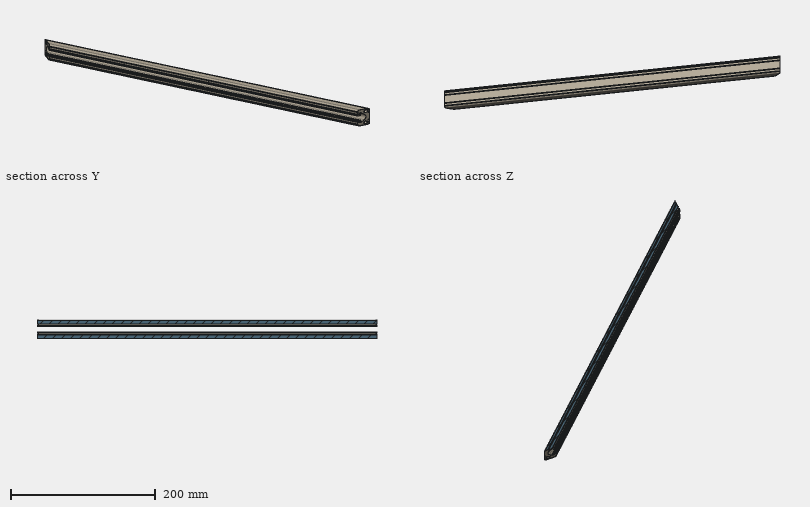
import cadquery as cq
import math

length = 488.5
depth = 12.5
height = 25.5
corner_radius = 2.5

mouth_half = 3.65
lip_thickness = 3.0
undercut_half = 6.5
wall_depth = 5.0
floor_radius = 6.0

relief_half = 7.5
relief_start = 2.0
relief_end = 4.5

bore_diameter = 4.0
bore_y = 9.0
bore_z = 9.0

groove_heights = (6.0, 10.0)
groove_half = 0.5
groove_depth = 0.5


def rectangular_bar(y_center, z_center, width, tall):
    """Bar of full length with its center line at the given Y and Z."""
    return cq.Workplane("YZ").center(y_center, z_center).rect(width, tall).extrude(length)


def slot():
    """Open undercut slot with 45 degree flanks and a round floor."""
    floor_half = floor_radius * math.sin(math.radians(45))
    flank_depth = wall_depth + undercut_half - floor_half
    slot_depth = flank_depth + floor_radius - floor_half
    return (
        cq.Workplane("YZ")
        .moveTo(0, -mouth_half)
        .lineTo(lip_thickness, -mouth_half)
        .lineTo(lip_thickness, -undercut_half)
        .lineTo(wall_depth, -undercut_half)
        .lineTo(flank_depth, -floor_half)
        .threePointArc((slot_depth, 0), (flank_depth, floor_half))
        .lineTo(wall_depth, undercut_half)
        .lineTo(lip_thickness, undercut_half)
        .lineTo(lip_thickness, mouth_half)
        .lineTo(0, mouth_half)
        .close()
        .extrude(length)
    )


def relief(side):
    """Pocket from halfway up the lip to the relief height on one side."""
    inner_half = (mouth_half + undercut_half) / 2
    return rectangular_bar(
        (relief_start + relief_end) / 2,
        side * (inner_half + relief_half) / 2,
        relief_end - relief_start,
        relief_half - inner_half,
    )


def bore(side):
    """Round passage along the whole bar on one side of the slot."""
    return cq.Workplane("YZ").center(bore_y, side * bore_z).circle(bore_diameter / 2).extrude(length)


def v_groove(face_y, bottom_y, z):
    """Groove that narrows from the face plane to its bottom line."""
    outline = [(face_y, z - groove_half), (bottom_y, z), (face_y, z + groove_half)]
    return cq.Workplane("YZ").polyline(outline).close().extrude(length)


bar = rectangular_bar(depth / 2, 0, depth, height).edges("|X").fillet(corner_radius)
bar = bar.cut(slot())
for side in (1, -1):
    bar = bar.cut(relief(side)).cut(bore(side))
    for groove_z in groove_heights:
        bar = bar.cut(v_groove(0, groove_depth, side * groove_z))
        bar = bar.cut(v_groove(depth, depth - groove_depth, side * groove_z))

miter_outline = [(0, depth), (length, depth), (length - depth, 0), (depth, 0)]
miter = cq.Workplane("XY").polyline(miter_outline).close().extrude(height / 2, both=True)
result = bar.intersect(miter).translate((-length / 2, -depth / 2, 0))